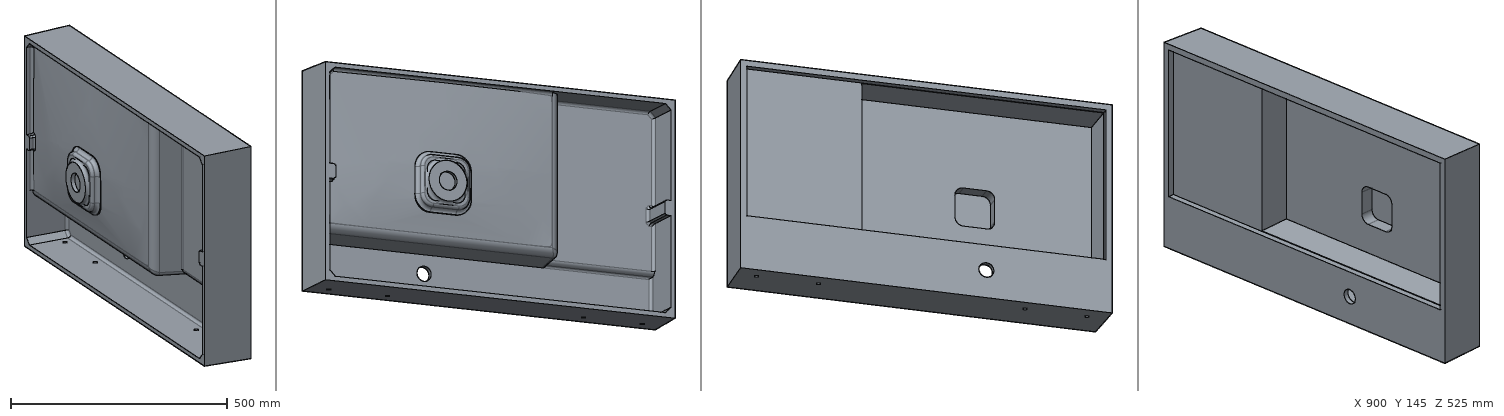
import cadquery as cq
import math


width = 900.0
height = 525.0
rim_depth = 120.0
total_depth = 145.0
side_draft = 4.0
lower_draft = 1.0
shell = 13.0

cavity_half_width = 435.0
cavity_top = 247.5
cavity_bottom = -250.5
cavity_corner = 14.0
floor_fillet = 7.0

rib_reach = 15.0
rib_half_height = 18.0
rib_bevel = 4.0

deck_depth = shell
shelf_depth = 29.0
bowl_depth = 104.0
foot_radius = 5.0
step_foot = -147.5
step_radius = shelf_depth - deck_depth - foot_radius
shelf_edge = step_foot + foot_radius + step_radius

bowl_right = 166.0
bowl_draft = 5.0
bowl_edge_radius = 20.0
bowl_corner_radius = 10.0
wall_foot_radius = 3.0
bowl_bulge = 14.5
bulge_sink = 0.02
bowl_lean = (bowl_depth - deck_depth) * math.tan(math.radians(bowl_draft))
bowl_tangent = bowl_edge_radius * math.tan(math.radians((90 - bowl_draft) / 2))
bulge_left = -cavity_half_width
bulge_right = bowl_right - bowl_lean - bowl_tangent
bulge_bottom = step_foot + bowl_lean + bowl_tangent
bulge_top = cavity_top
bulge_samples = 14

drain_x = -145.0
drain_flare = 9.5
drain_square = 125.0
drain_corner = 30.0
drain_shoulder = 7.5
drain_shoulder_depth = 136.0
drain_neck_diameter = 97.0
drain_hole_diameter = 45.0
drain_floor = 10.0
drain_seat = total_depth - drain_floor

cover_size = 96.0
cover_corner = 20.0
cover_thickness = 10.0

tap_diameter = 36.0
tap_z = -192.5
fixing_diameter = 10.0
fixing_depth = 38.0
fixing_outer_x = 400.0
fixing_inner_x = 250.0


def plane(depth):
    """Workplane at a depth, with X to the right, Z up and extrusion toward -Y."""
    return cq.Workplane("XZ", origin=(0, -depth, 0))


def block(left, right, bottom, top, start, end, taper=0):
    """Rectangular block between two depths."""
    return (plane(start).center((left + right) / 2, (bottom + top) / 2)
            .rect(right - left, top - bottom).extrude(end - start, taper=taper))


def rounded_square(size, corner, start, end):
    """Square block with rounded corners on the drain axis."""
    return (plane(start).center(drain_x, 0).rect(size, size)
            .extrude(end - start).edges("|Y").fillet(corner))


def outer_block():
    rim_height = height - side_draft - lower_draft
    return (plane(0).rect(width, height)
            .workplane(offset=rim_depth)
            .center(0, (lower_draft - side_draft) / 2)
            .rect(width - 2 * side_draft, rim_height)
            .loft(ruled=True))


def cavity_prism(floor_depth):
    """Chamfered opening notched by the ribs, with a rounded floor border."""
    middle = (cavity_top + cavity_bottom) / 2
    prism = (plane(floor_depth).center(0, middle)
             .rect(2 * cavity_half_width, cavity_top - cavity_bottom)
             .extrude(rim_depth - floor_depth)
             .edges("|Y").chamfer(cavity_corner))
    for side in (-1, 1):
        rib = (plane(floor_depth).center(side * cavity_half_width, 0)
               .rect(2 * rib_reach, 2 * rib_half_height)
               .extrude(rim_depth - floor_depth)
               .edges("|Y").chamfer(rib_bevel))
        prism = prism.cut(rib)
    return prism.faces(">Y").edges().fillet(floor_fillet)


def shelf_mass():
    """Everything above the shelf floor, with the S-shaped step down to the deck."""
    wall_z = step_foot + foot_radius
    profile = (cq.Workplane("YZ", origin=(-width / 2, 0, 0))
               .moveTo(0, step_foot)
               .lineTo(-deck_depth, step_foot)
               .radiusArc((-deck_depth - foot_radius, wall_z), -foot_radius)
               .radiusArc((-shelf_depth, shelf_edge), step_radius)
               .lineTo(-shelf_depth, height / 2)
               .lineTo(0, height / 2)
               .close())
    return profile.extrude(width)


def bulge_height(x, z):
    """Smooth swell of the bowl floor, highest at the drain and zero along its border."""
    across = (x - drain_x) / ((bulge_right if x > drain_x else bulge_left) - drain_x)
    upward = z / (bulge_top if z > 0 else bulge_bottom)
    return bowl_bulge * (1 - across ** 2) * (1 - upward ** 2)


def bulge_mass():
    step_x = (bulge_right - bulge_left) / bulge_samples
    step_z = (bulge_top - bulge_bottom) / bulge_samples
    grid = []
    for i in range(bulge_samples + 1):
        x = bulge_left + i * step_x
        row = []
        for j in range(bulge_samples + 1):
            z = bulge_bottom + j * step_z
            row.append(cq.Vector(x, bulge_sink - bowl_depth - bulge_height(x, z), z))
        grid.append(row)
    surface = cq.Face.makeSplineApprox(grid, tol=0.01)
    return cq.Workplane(cq.Solid.extrudeLinear(surface, cq.Vector(0, shell, 0)))


def bowl_mass():
    """Drafted bowl block with rounded free edges and a swollen floor."""
    beyond = width
    body = block(bowl_right - beyond, bowl_right, step_foot, step_foot + beyond,
                 deck_depth, bowl_depth, bowl_draft)
    body = body.faces(">X").edges("<Z").fillet(bowl_corner_radius)
    body = body.faces("<Y").edges("not (<X or >Z)").fillet(bowl_edge_radius)
    return with_wall_foot(body).union(bulge_mass())


def with_wall_foot(bowl):
    """Bowl block joined to the shelf floor by a hollow round along its right wall."""
    wall_x = bowl_right - (shelf_depth - deck_depth) * math.tan(math.radians(bowl_draft))
    shelf = block(bulge_right, width / 2, shelf_edge, height / 2, deck_depth, shelf_depth)
    corner = cq.selectors.BoxSelector((wall_x - 1, -shelf_depth - 1, shelf_edge),
                                      (wall_x + 1, -shelf_depth + 1, height))
    return bowl.union(shelf).edges(corner).fillet(wall_foot_radius)


def drain_flare_mass():
    """Hollow round that spreads the foot of the square boss onto the bowl floor."""
    start = bowl_depth + bowl_bulge
    half_plate = drain_square / 2 + 2 * drain_flare
    plate = block(drain_x - half_plate, drain_x + half_plate, -half_plate, half_plate,
                  start - shell, start)
    flare = plate.union(rounded_square(drain_square, drain_corner, start, total_depth))
    reach = drain_square / 2 + drain_flare / 2
    foot = cq.selectors.BoxSelector((drain_x - reach, -start - 1, -reach),
                                    (drain_x + reach, 1 - start, reach))
    flare = flare.edges(foot).fillet(drain_flare)
    limit = rounded_square(drain_square + 2 * drain_flare, drain_corner + drain_flare,
                           start - shell, start + drain_flare)
    return flare.intersect(limit)


def drain_boss():
    square = rounded_square(drain_square, drain_corner, bowl_depth, drain_shoulder_depth)
    square = square.faces("<Y").edges().fillet(drain_shoulder)
    boss = square.union(drain_flare_mass())
    return boss.union(drain_neck())


def drain_neck():
    """Round neck with a hollow flared foot, trimmed to the flat top of the square boss."""
    neck_height = total_depth - drain_shoulder_depth
    tip_radius = drain_neck_diameter / 2
    neck_foot = tip_radius + neck_height
    profile = (cq.Workplane("XY", origin=(drain_x, 0, 0))
               .moveTo(0, -total_depth)
               .lineTo(tip_radius, -total_depth)
               .radiusArc((neck_foot, -drain_shoulder_depth), neck_height)
               .lineTo(neck_foot, -drain_seat)
               .lineTo(0, -drain_seat)
               .close())
    neck = profile.revolve(360, (0, 0, 0), (0, 1, 0))
    half_top = drain_square / 2 - drain_shoulder
    return neck.intersect(block(drain_x - half_top, drain_x + half_top, -half_top, half_top,
                                drain_seat, total_depth))


def top_recesses():
    """Shelf and bowl hollows in the top face, one shell thickness inside the underside."""
    left = -cavity_half_width
    bottom = step_foot + foot_radius + shell
    shelf = block(left, cavity_half_width, bottom, cavity_top, 0, shelf_depth - shell)
    bowl = block(left, bowl_right - shell, bottom, cavity_top,
                 0, bowl_depth - shell, bowl_draft)
    return shelf.union(bowl)


def make_basin():
    shelf = shelf_mass()
    bowl = bowl_mass()
    above_deck = block(-width, width, shelf_edge, height, deck_depth, rim_depth)
    under_bowl = block(-width, bulge_right, bulge_bottom, height, deck_depth, rim_depth)
    cavity = (cavity_prism(deck_depth).cut(above_deck).cut(shelf).cut(bowl)
              .union(cavity_prism(shelf_depth).cut(under_bowl).cut(bowl))
              .union(cavity_prism(bowl_depth).cut(bowl)))
    basin = outer_block().cut(cavity).union(drain_boss()).cut(top_recesses())
    basin = basin.cut(rounded_square(cover_size, cover_corner,
                                     bowl_depth - shell, drain_seat))
    basin = basin.cut(plane(0).center(drain_x, 0)
                      .circle(drain_hole_diameter / 2).extrude(total_depth))
    basin = basin.cut(plane(0).center(drain_x, tap_z)
                      .circle(tap_diameter / 2).extrude(rim_depth))
    fixings = (cq.Workplane("XY", origin=(0, -fixing_depth, -height / 2))
               .pushPoints([(side * x, 0) for side in (-1, 1) for x in (fixing_inner_x, fixing_outer_x)])
               .circle(fixing_diameter / 2).extrude(height / 2 + cavity_bottom + floor_fillet))
    return basin.cut(fixings)


def make_cover():
    return rounded_square(cover_size, cover_corner, drain_seat - cover_thickness, drain_seat)


basin = make_basin()
cover = make_cover()
result = cq.Compound.makeCompound([basin.val(), cover.val()])